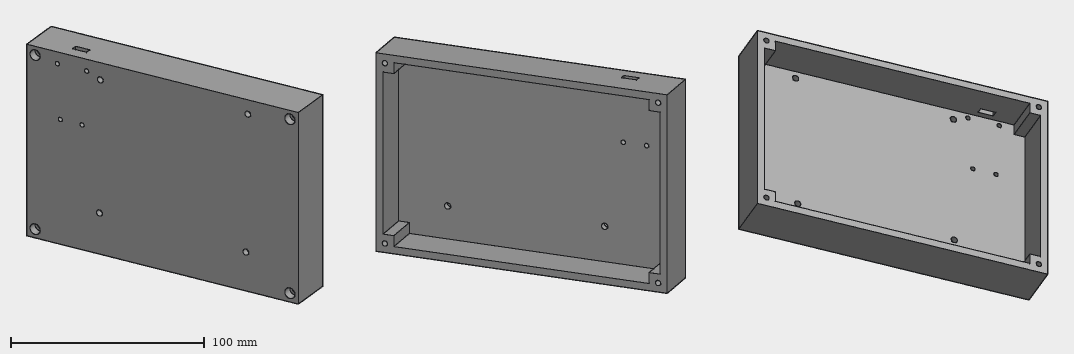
import cadquery as cq

length = 162.6
depth = 25.0
height = 109.5
wall = 4.0
floor = 4.0

screw_inset = 5.0
post_size = 2 * screw_inset
screw_diameter = 3.0
head_diameter = 6.0
head_depth = 5.0

board_hole_diameter = 3.4
board_holes = [(-37.2, 44.9), (51.0, 46.5), (-37.7, -31.2), (50.0, -32.5)]
module_hole_diameter = 2.5
module_holes = [(-63.0, 48.0), (-45.4, 48.0), (-61.1, 16.6), (-48.1, 16.6)]

port_length = 8.5
port_width = 3.4
port_x = -54.0
port_y = -3.5

front_y = -depth / 2
screw_x = length / 2 - screw_inset
screw_z = height / 2 - screw_inset
screw_centres = [(x, z) for x in (-screw_x, screw_x) for z in (-screw_z, screw_z)]


def drill(centres, diameter, drill_depth):
    """Cylinders running from the front face in the +Y direction."""
    front_plane = cq.Workplane("XZ", origin=(0, front_y, 0))
    return front_plane.pushPoints(centres).circle(diameter / 2).extrude(-drill_depth)


tray = cq.Workplane("XY").box(length, depth, height)
cavity = cq.Workplane("XY").box(length - 2 * wall, depth - floor, height - 2 * wall)
tray = tray.cut(cavity.translate((0, floor / 2, 0)))

posts = (
    cq.Workplane("XZ", origin=(0, front_y, 0))
    .pushPoints(screw_centres)
    .rect(post_size, post_size)
    .extrude(-depth)
)
body = tray.union(posts)

body = body.cut(drill(screw_centres, screw_diameter, depth))
body = body.cut(drill(screw_centres, head_diameter, head_depth))

body = body.cut(drill(board_holes, board_hole_diameter, floor))
body = body.cut(drill(module_holes, module_hole_diameter, floor))

port = cq.Workplane("XY").box(port_length, port_width, wall)
body = body.cut(port.translate((port_x, port_y, (height - wall) / 2)))

result = body